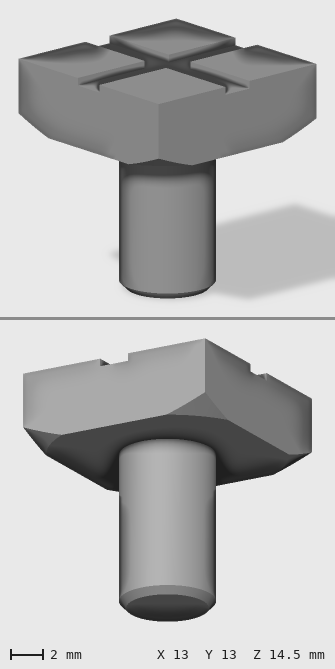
import cadquery as cq
import math

total_height = 14.5
head_side = 13.0
head_height = 4.5
groove_width = 2.0
groove_depth = 0.5
shank_diameter = 6.0
shank_chamfer = 0.45
bevel_start_radius = 7.5
bevel_angle = 30.0

shank_length = total_height - head_height


def bevel_cone():
    """Upward-opening cone that trims the lower corners of the head."""
    rim_radius = bevel_start_radius + head_height / math.tan(math.radians(bevel_angle))
    return (
        cq.Workplane("XZ")
        .polyline([(0, 0), (bevel_start_radius, 0), (rim_radius, head_height), (0, head_height)])
        .close()
        .revolve(360, (0, 0, 0), (0, 1, 0))
    )


def cross_grooves():
    """Two shallow grooves crossing at the centre of the head's top face."""
    floor = cq.Workplane("XY").workplane(offset=head_height - groove_depth)
    along_x = floor.rect(head_side, groove_width).extrude(groove_depth)
    along_y = floor.rect(groove_width, head_side).extrude(groove_depth)
    return along_x.union(along_y)


def shank():
    """Round shank below the head, chamfered at its free end."""
    return (
        cq.Workplane("XY")
        .circle(shank_diameter / 2)
        .extrude(-shank_length)
        .faces("<Z")
        .chamfer(shank_chamfer)
    )


head = cq.Workplane("XY").rect(head_side, head_side).extrude(head_height)
head = head.intersect(bevel_cone()).cut(cross_grooves())

result = head.union(shank())